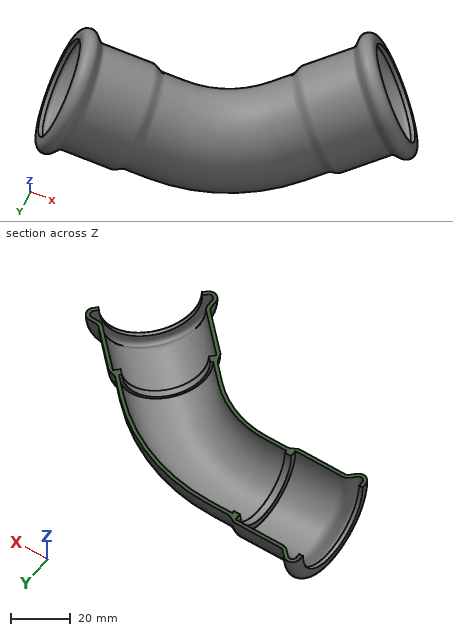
import cadquery as cq
import math

bend_angle = 45
bend_radius = 52.7
leg_length = 38.9

tube_radius = 34.8 / 2
socket_radius = 38.0 / 2
wall = 1.5
socket_bore_radius = socket_radius - wall
tube_bore_radius = tube_radius - wall
socket_depth = 27.2
stop_radius = 14.9
stop_width = 2.6

bead_radius = 3.0
bead_ring_radius = 19.4
flare_radius = 2.0

shoulder_start = 26.9
shoulder_end = 30.0
shoulder_blend = 2.1

diagonal = math.sqrt(0.5)
flare_ring_radius = socket_radius + flare_radius
cone_run = bead_ring_radius - flare_ring_radius
flare_position = bead_radius + (bead_radius + flare_radius) / diagonal + cone_run


def polar(center, radius, angle):
    """Point on a circle in the (distance from mouth, distance from axis) plane."""
    a = math.radians(angle)
    return center[0] + radius * math.cos(a), center[1] + radius * math.sin(a)


def make_leg_body():
    bead = (bead_radius, bead_ring_radius)
    flare = (flare_position, flare_ring_radius)
    body = (
        cq.Workplane("XY")
        .moveTo(0, 0)
        .lineTo(0, bead_ring_radius)
        .threePointArc(polar(bead, bead_radius, 112.5), polar(bead, bead_radius, 45))
        .lineTo(*polar(flare, flare_radius, 225))
        .threePointArc(polar(flare, flare_radius, 247.5), polar(flare, flare_radius, 270))
        .lineTo(shoulder_start, socket_radius)
        .lineTo(shoulder_end, tube_radius)
        .lineTo(leg_length, tube_radius)
        .lineTo(leg_length, 0)
        .close()
        .revolve(360, (0, 0, 0), (1, 0, 0))
    )
    shoulder_edges = cq.selectors.BoxSelector(
        (shoulder_start - wall, -socket_radius, -socket_radius),
        (shoulder_end + wall, socket_radius, socket_radius),
    )
    return body.edges("%CIRCLE").edges(shoulder_edges).fillet(shoulder_blend)


def make_leg_cavity():
    """Mouth opening, seal groove inside the bead, socket bore, stop ring and tube bore."""
    bead = (bead_radius, bead_ring_radius)
    flare = (flare_position, flare_ring_radius)
    groove_radius = bead_radius - wall
    inner_flare = flare_radius + wall
    return (
        cq.Workplane("XY")
        .moveTo(0, 0)
        .lineTo(0, socket_bore_radius)
        .lineTo(wall, socket_bore_radius)
        .lineTo(wall, bead_ring_radius)
        .threePointArc(polar(bead, groove_radius, 112.5), polar(bead, groove_radius, 45))
        .lineTo(*polar(flare, inner_flare, 225))
        .threePointArc(polar(flare, inner_flare, 247.5), polar(flare, inner_flare, 270))
        .lineTo(socket_depth, socket_bore_radius)
        .lineTo(socket_depth, stop_radius)
        .lineTo(socket_depth + stop_width, stop_radius)
        .lineTo(socket_depth + stop_width, tube_bore_radius)
        .lineTo(leg_length, tube_bore_radius)
        .lineTo(leg_length, 0)
        .close()
        .revolve(360, (0, 0, 0), (1, 0, 0))
    )


def make_bend():
    return (
        cq.Workplane("YZ", origin=(leg_length, 0, 0))
        .circle(tube_radius)
        .circle(tube_bore_radius)
        .revolve(bend_angle, (-bend_radius, 1.2, 0), (-bend_radius, 0, 0))
    )


leg = make_leg_body().cut(make_leg_cavity())

bend_center = (leg_length, -bend_radius, 0)
bend_axis_end = (leg_length, -bend_radius, 1)
far_leg = leg.mirror("YZ", (leg_length, 0, 0)).rotate(bend_center, bend_axis_end, -bend_angle)

result = leg.union(make_bend()).union(far_leg)